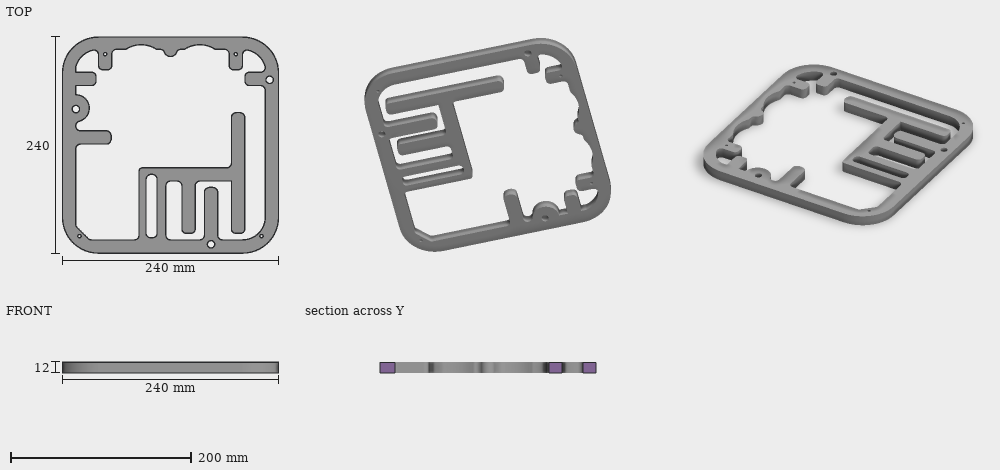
import cadquery as cq
import math

side = 240.0
thickness = 12.0
half = side / 2
outer_radius = 40.0

wall = 15.0
window = half - wall
mid_wall = half - wall / 2
window_top = 106.2
corner_center = half - outer_radius
upper_corner_radius = 26.0
lower_right_radius = 25.0
corner_cut = 15.0
corner_cut_blend = 5.0

scallop_apex = 111.3
scallop_radius = 31.0
scallop_x = 32.5
scallop_y = scallop_apex - scallop_radius
nose_radius = 7.25
nose_y = 105.5
cusp_radius = 5.0

finger_width = 15.0
half_finger = finger_width / 2
crown_radius = 10.0
tip_radius = 5.0
root_radius = 5.0

top_tab_x = corner_center - half_finger
top_tab_end = 83.5
side_tab_y = 73.5
side_tab_end = 82.5

boss_x = -105.0
boss_hole_y = 40.0
boss_radius = 15.0
boss_center_y = 41.0
left_finger_y = 8.5
left_finger_end = -65.5

bracket_left = -35.0
bracket_top = -25.0
bracket_corner_radius = 4.0
beam_bottom = bracket_top - finger_width
post_right = -5.0
bar_x = 75.0
bar_top = 36.5
bar_bottom = -98.0
hanging_finger_x = 20.0
upright_finger_x = 45.0
upright_finger_top = -46.5

slot_x = -21.0
slot_width = 12.0
slot_top = -32.5
slot_bottom = -102.5
slot_bottom_radius = 4.5
slot_top_radius = 5.5

screw_diameter = 3.5
screw_offset = 101.0
dowel_diameter = 8.0
dowel_offset = 110.0
dowel_y = 72.5


def block(x_min, x_max, y_min, y_max):
    """Full-thickness rectangular block between the given limits."""
    base = cq.Workplane("XY").box(x_max - x_min, y_max - y_min, thickness, centered=False)
    return base.translate((x_min, y_min, 0))


def disc(x, y, radius):
    """Full-thickness round disc."""
    return cq.Workplane("XY").center(x, y).circle(radius).extrude(thickness)


def crowned_finger(x, y, length, angle):
    """Finger from (x, y) at an angle from +X, with a shallow arc across its end."""
    shoulder = length - crown_radius + math.sqrt(crown_radius**2 - half_finger**2)
    bar = (
        cq.Workplane("XY")
        .moveTo(0, -half_finger)
        .lineTo(shoulder, -half_finger)
        .threePointArc((length, 0), (shoulder, half_finger))
        .lineTo(0, half_finger)
        .close()
        .extrude(thickness)
    )
    bar = round_corners(bar, tip_radius, [(shoulder, -half_finger), (shoulder, half_finger)])
    return bar.rotate((0, 0, 0), (0, 0, 1), angle).translate((x, y, 0))


def round_corners(body, radius, corners):
    """Fillet the upright edges standing at the given (x, y) corners."""
    reach = 0.3
    for x, y in corners:
        low = (x - reach, y - reach, -reach)
        high = (x + reach, y + reach, thickness + reach)
        body = body.edges("|Z").edges(cq.selectors.BoxSelector(low, high)).fillet(radius)
    return body


def make_window():
    """Opening inside the frame, with its corners and scallops but without the fingers."""
    opening = block(-window, window, -window, corner_center)
    opening = opening.edges("|Z and >X and <Y").fillet(lower_right_radius)
    opening = opening.edges("|Z and <X and <Y").chamfer(corner_cut)
    cut_ends = [(-window, corner_cut - window), (corner_cut - window, -window)]
    opening = round_corners(opening, corner_cut_blend, cut_ends)
    opening = opening.union(block(-corner_center, corner_center, 0, window_top))
    between_walls = block(-window, window, 0, half)
    for mirror in (-1, 1):
        corner = disc(mirror * corner_center, corner_center, upper_corner_radius)
        opening = opening.union(corner.intersect(between_walls))
        opening = opening.union(disc(mirror * scallop_x, scallop_y, scallop_radius))
    return opening


def make_frame():
    """Rounded square plate with the window cut through it."""
    plate = block(-half, half, -half, half).edges("|Z").fillet(outer_radius)
    frame = plate.cut(make_window())
    half_chord = math.sqrt(scallop_radius**2 - (window_top - scallop_y) ** 2)
    cusps = [
        (mirror * (scallop_x + offset), window_top)
        for mirror in (-1, 1)
        for offset in (-half_chord, half_chord)
    ]
    return round_corners(frame, cusp_radius, cusps)


def add_nose(body):
    """Round nose between the scallops, blended into the top wall."""
    body = body.union(disc(0, nose_y, nose_radius))
    root_x = math.sqrt(nose_radius**2 - (window_top - nose_y) ** 2)
    return round_corners(body, root_radius, [(-root_x, window_top), (root_x, window_top)])


def add_top_tabs(body):
    """Pair of tabs hanging from the top wall."""
    inner = top_tab_x - half_finger
    outer = top_tab_x + half_finger
    for mirror in (-1, 1):
        x_min, x_max = sorted((mirror * inner, mirror * outer))
        body = body.union(block(x_min, x_max, top_tab_end, mid_wall))
        body = round_corners(body, tip_radius, [(x_min, top_tab_end), (x_max, top_tab_end)])
        body = round_corners(body, root_radius, [(x_min, window_top), (x_max, window_top)])
    return body


def add_side_tabs(body):
    """Pair of tabs on the side walls; only the right one is blended into its wall."""
    y_min = side_tab_y - half_finger
    y_max = side_tab_y + half_finger
    for mirror in (-1, 1):
        x_tip = mirror * side_tab_end
        x_min, x_max = sorted((x_tip, mirror * mid_wall))
        body = body.union(block(x_min, x_max, y_min, y_max))
        body = round_corners(body, tip_radius, [(x_tip, y_min), (x_tip, y_max)])
    return round_corners(body, root_radius, [(window, y_min), (window, y_max)])


def add_left_features(body):
    """Round boss and long crowned finger on the left wall."""
    boss = disc(boss_x, boss_center_y, boss_radius).intersect(block(-half, half, -half, half))
    body = body.union(boss)
    finger_length = left_finger_end + mid_wall
    body = body.union(crowned_finger(-mid_wall, left_finger_y, finger_length, 0))
    boss_foot = boss_center_y - math.sqrt(boss_radius**2 - (window + boss_x) ** 2)
    roots = [
        (-window, boss_foot),
        (-window, left_finger_y + half_finger),
        (-window, left_finger_y - half_finger),
    ]
    return round_corners(body, root_radius, roots)


def add_bracket(body):
    """Slotted post, beam, double-ended bar and the two fingers beside it."""
    foot = -mid_wall
    bar_left = bar_x - half_finger
    hanging_left = hanging_finger_x - half_finger
    hanging_right = hanging_finger_x + half_finger
    upright_left = upright_finger_x - half_finger
    upright_right = upright_finger_x + half_finger

    body = body.union(block(bracket_left, post_right, foot, bracket_top))
    body = body.union(block(bracket_left, bar_x, beam_bottom, bracket_top))
    body = body.union(block(hanging_left, hanging_right, bar_bottom, bracket_top - half_finger))
    body = body.union(crowned_finger(bar_x, bar_bottom, bar_top - bar_bottom, 90))
    body = body.union(crowned_finger(upright_finger_x, foot, upright_finger_top - foot, 90))

    tips = [
        (hanging_left, bar_bottom),
        (hanging_right, bar_bottom),
        (bar_left, bar_bottom),
        (bar_x + half_finger, bar_bottom),
    ]
    roots = [
        (bracket_left, -window),
        (post_right, -window),
        (upright_left, -window),
        (upright_right, -window),
        (post_right, beam_bottom),
        (hanging_left, beam_bottom),
        (hanging_right, beam_bottom),
        (bar_left, bracket_top),
    ]
    body = round_corners(body, tip_radius, tips)
    body = round_corners(body, root_radius, roots)
    return round_corners(body, bracket_corner_radius, [(bracket_left, bracket_top)])


def cut_slot(body):
    """Slot in the post: nearly full round at the top, tighter corners at the bottom."""
    half_slot = slot_width / 2
    slot = block(slot_x - half_slot, slot_x + half_slot, slot_bottom, slot_top)
    slot = slot.edges("|Z and <Y").fillet(slot_bottom_radius)
    slot = slot.edges("|Z and >Y").fillet(slot_top_radius)
    return body.cut(slot)


def drill_holes(body):
    """Screw holes in the corners and tabs, dowel holes in the walls."""
    screws = [
        (-screw_offset, -screw_offset),
        (screw_offset, -screw_offset),
        (-top_tab_x, screw_offset),
        (top_tab_x, screw_offset),
    ]
    dowels = [(boss_x, boss_hole_y), (dowel_offset, dowel_y), (upright_finger_x, -dowel_offset)]
    for diameter, centers in ((screw_diameter, screws), (dowel_diameter, dowels)):
        for x, y in centers:
            body = body.cut(disc(x, y, diameter / 2))
    return body


result = make_frame()
result = add_nose(result)
result = add_top_tabs(result)
result = add_side_tabs(result)
result = add_left_features(result)
result = add_bracket(result)
result = cut_slot(result)
result = drill_holes(result)